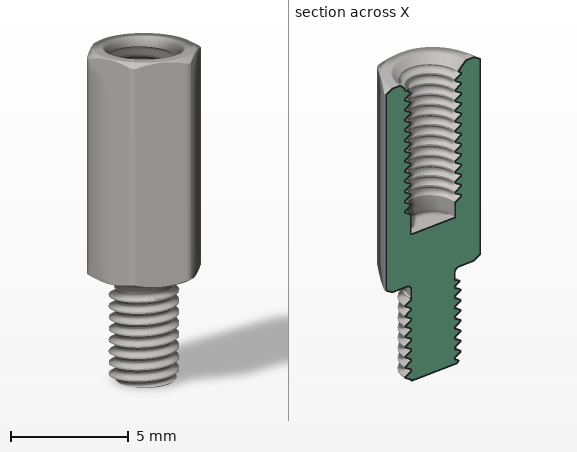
import cadquery as cq
import math

total_length = 14.7
stud_length = 4.7
body_length = total_length - stud_length

across_flats = 4.5
corner_radius = 0.35
end_face_diameter = 4.4
end_bevel_angle = 30.0

pitch = 0.5
major_radius = 1.5
minor_radius = 1.19
flank_slope = math.tan(math.radians(30))
crest_width = pitch / 8
thread_overlap = 0.01

neck_radius = 1.18
neck_length = 0.57
neck_fillet = 0.24
tip_radius = 1.3
stud_crest_height = 0.41
runout_height = 0.13
bar_allowance = 1.47

hole_depth = 7.5
countersink_radius = 1.76
hole_groove_height = 14.02


def frustum(z_low, radius_low, z_high, radius_high):
    """Cone section around Z."""
    return (
        cq.Workplane("XZ")
        .polyline([(0, z_low), (radius_low, z_low), (radius_high, z_high), (0, z_high)])
        .close()
        .revolve(360, (0, 0, 0), (0, 1, 0))
    )


def helical_sweep(profile, start_height, turns):
    """Right-handed sweep of (radius, height offset) points, starting on +X at start_height."""
    helix = cq.Wire.makeHelix(pitch, turns * pitch, minor_radius, center=cq.Vector(0, 0, start_height))
    points = [(radius, start_height + offset) for radius, offset in profile]
    return cq.Workplane("XZ").polyline(points).close().sweep(cq.Workplane(helix), isFrenet=True)


def tapered_profile(narrow_radius, wide_radius, narrow_width):
    """Trapezoid with thread flanks, widening from narrow_radius to wide_radius."""
    half_narrow = narrow_width / 2
    half_wide = half_narrow + abs(wide_radius - narrow_radius) * flank_slope
    return [
        (narrow_radius, -half_narrow),
        (wide_radius, -half_wide),
        (wide_radius, half_wide),
        (narrow_radius, half_narrow),
    ]


def make_body():
    """Hexagonal prism with flats on +X and -X, rounded edges and conical end bevels."""
    corner_diameter = across_flats / math.cos(math.radians(30))
    prism = (
        cq.Workplane("XY", origin=(0, 0, stud_length))
        .polygon(6, corner_diameter)
        .extrude(body_length)
        .rotate((0, 0, 0), (0, 0, 1), 30)
        .edges("|Z")
        .fillet(corner_radius)
    )
    face_radius = end_face_diameter / 2
    bevel_growth = body_length / 2 / math.tan(math.radians(end_bevel_angle))
    middle = stud_length + body_length / 2
    lower = frustum(stud_length, face_radius, middle, face_radius + bevel_growth)
    upper = frustum(middle, face_radius + bevel_growth, total_length, face_radius)
    return prism.intersect(lower.union(upper))


def make_stud_blank():
    """Unthreaded stud: bevelled tip, full-diameter shank, runout, neck and concave fillet."""
    thread_top = stud_length - neck_length
    fillet_middle = neck_fillet * (1 - math.sqrt(0.5))
    return (
        cq.Workplane("XZ")
        .lineTo(tip_radius, 0)
        .lineTo(major_radius, major_radius - tip_radius)
        .lineTo(major_radius, thread_top - runout_height)
        .lineTo(neck_radius, thread_top)
        .lineTo(neck_radius, stud_length - neck_fillet)
        .threePointArc(
            (neck_radius + fillet_middle, stud_length - fillet_middle),
            (neck_radius + neck_fillet, stud_length),
        )
        .lineTo(0, stud_length)
        .close()
        .revolve(360, (0, 0, 0), (0, 1, 0))
    )


def make_stud():
    """Stud trimmed from a longer round bar, so the groove runs out past the tip and into the neck."""
    root_width = pitch - crest_width - 2 * (major_radius - minor_radius) * flank_slope
    profile = tapered_profile(minor_radius, major_radius + thread_overlap, root_width)
    start_height = stud_crest_height - 2.5 * pitch
    turns = math.ceil((stud_length - neck_length - start_height) / pitch)
    bar = (
        cq.Workplane("XY", origin=(0, 0, -bar_allowance))
        .circle(major_radius)
        .extrude(stud_length + 2 * bar_allowance)
    )
    threaded_bar = bar.cut(helical_sweep(profile, start_height, turns))
    return threaded_bar.intersect(make_stud_blank())


def cut_threaded_hole(part):
    """Blind flat-bottomed hole with a 45-degree countersink and a helical groove."""
    floor = total_length - hole_depth
    sink_depth = countersink_radius - minor_radius
    bore = frustum(floor, minor_radius, total_length, minor_radius)
    sink = frustum(total_length - sink_depth, minor_radius, total_length, countersink_radius)
    turns_below = math.floor((hole_groove_height - floor) / pitch) - 1
    start_height = hole_groove_height - turns_below * pitch
    profile = tapered_profile(major_radius, minor_radius - thread_overlap, crest_width)
    groove = helical_sweep(profile, start_height, turns_below + 1)
    return part.cut(bore).cut(sink).cut(groove)


result = cut_threaded_hole(make_body()).union(make_stud())